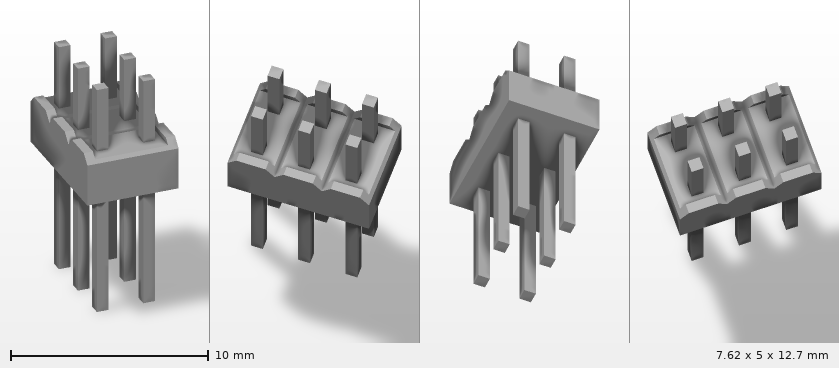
import cadquery as cq

pitch = 2.54
columns = 3
rows = 2
pin_width = 0.64
pin_length = 12.7
pin_below_body = 6.73

body_length = columns * pitch
body_width = 5.0
body_height = 2.77
chamfer = 0.48

recess_width = 4.0
recess_depth = 0.3


def make_body():
    """Extrude the chamfered cells, which meet in V notches, along Y."""
    shoulder = body_height - chamfer
    left = -body_length / 2
    outline = [(-left, 0), (left, 0), (left, shoulder)]
    for column in range(columns):
        start = left + column * pitch
        end = start + pitch
        outline += [
            (start + chamfer, body_height),
            (end - chamfer, body_height),
            (end, shoulder),
        ]
    return cq.Workplane("XZ").polyline(outline).close().extrude(body_width / 2, both=True)


def make_recess():
    """Channel running through the full length of the body top."""
    return (
        cq.Workplane("XY")
        .workplane(offset=body_height - recess_depth)
        .rect(body_length, recess_width)
        .extrude(recess_depth)
    )


def make_pins():
    """Square pins passing through the body."""
    return (
        cq.Workplane("XY")
        .workplane(offset=-pin_below_body)
        .rarray(pitch, pitch, columns, rows)
        .rect(pin_width, pin_width)
        .extrude(pin_length)
    )


result = make_body().cut(make_recess()).union(make_pins())